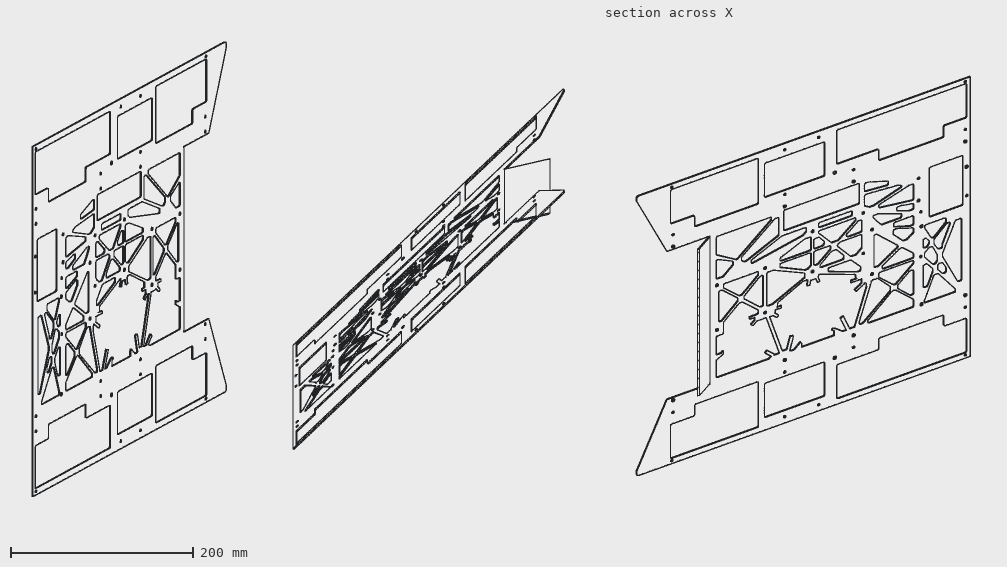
import cadquery as cq
import math

thickness = 1.5
plate_length = 418.18
plate_height = 406.0
total_depth = 26.75
half_height = plate_height / 2

horn_taper_z = 196.2
horn_root_y = 380.2
horn_radius = 3.0
horn_overlap = 20.0

notch_half_height = 107.6
flap_half_height = 106.5
flap_fold_y = 326.4
flap_tip_y = 371.0
flap_angle = math.radians(31)

corner_radius = 2.0
truss_radius = 2.0

frame_top_z = 195.3
step_z = 145.5
frame_bottom_z = 128.9
floor_z = -101.8
truss_left_y = 318.4
truss_right_y = 70.9


def rounded_outline(points, radius):
    """Closed wire in YZ; each corner gets the radius, or less where its edges are too short."""
    edge_share = 0.45
    outline = None
    count = len(points)
    for i in range(count):
        corner = cq.Vector(*points[i])
        to_previous = cq.Vector(*points[i - 1]) - corner
        to_next = cq.Vector(*points[(i + 1) % count]) - corner
        half_angle = to_previous.getAngle(to_next) / 2
        shorter_edge = min(to_previous.Length, to_next.Length)
        setback = min(radius / math.tan(half_angle), edge_share * shorter_edge)
        arc_radius = setback * math.tan(half_angle)
        start = corner + to_previous.normalized() * setback
        end = corner + to_next.normalized() * setback
        bisector = (to_previous.normalized() + to_next.normalized()).normalized()
        middle = corner + bisector * (arc_radius / math.sin(half_angle) - arc_radius)
        if outline is None:
            outline = cq.Workplane("YZ", origin=(-thickness, 0, 0)).moveTo(start.x, start.y)
        else:
            outline = outline.lineTo(start.x, start.y)
        outline = outline.threePointArc((middle.x, middle.y), (end.x, end.y))
    return outline.close()


def rounded_panel(points, radius):
    """Sheet-thick panel with rounded corners."""
    return rounded_outline(points, radius).extrude(thickness)


def mirrored(points):
    """The same points on the other side of Z = 0."""
    return [(y, -z) for y, z in points]


def rectangle(y_low, y_high, z_low, z_high):
    """Corner points of an upright rectangle."""
    return [(y_low, z_low), (y_high, z_low), (y_high, z_high), (y_low, z_high)]


def bar(start, end, width):
    """Corner points of a straight bar between two centre points."""
    length = math.dist(start, end)
    side_y = -(end[1] - start[1]) / length * width / 2
    side_z = (end[0] - start[0]) / length * width / 2
    return [
        (start[0] + side_y, start[1] + side_z),
        (end[0] + side_y, end[1] + side_z),
        (end[0] - side_y, end[1] - side_z),
        (start[0] - side_y, start[1] - side_z),
    ]


def make_plate():
    """Sheet outline: a rectangle with two horns left standing beside the flap notch."""
    body = rectangle(0, flap_fold_y, -half_height, half_height)
    plate = cq.Workplane("YZ", origin=(-thickness, 0, 0)).polyline(body).close().extrude(thickness)
    horn_base_y = flap_fold_y - horn_overlap
    horn = [
        (horn_base_y, half_height),
        (plate_length, half_height),
        (plate_length, horn_taper_z),
        (horn_root_y, notch_half_height),
        (horn_base_y, notch_half_height),
    ]
    for points in (horn, mirrored(horn)):
        sheet = cq.Workplane("YZ", origin=(-thickness, 0, 0)).polyline(points).close().extrude(thickness)
        tip_edges = sheet.faces(">Y").edges("|X")
        plate = plate.union(tip_edges.fillet(horn_radius))
    return plate


def make_flap():
    """Folded flap of sheet thickness whose tip is cut parallel to the plate."""
    fold_back_y = flap_fold_y + thickness * math.tan(flap_angle / 2)
    tip_inner_y = flap_tip_y - thickness / math.sin(flap_angle)
    profile = [
        (0, flap_fold_y - thickness),
        (0, fold_back_y),
        (-total_depth, flap_tip_y),
        (-total_depth, tip_inner_y),
        (-thickness, flap_fold_y),
        (-thickness, flap_fold_y - thickness),
    ]
    flap = cq.Workplane("XY", origin=(0, 0, -flap_half_height)).polyline(profile).close()
    return flap.extrude(2 * flap_half_height)


side_windows = [
    [
        (375.7, frame_top_z), (265.5, frame_top_z), (265.5, frame_bottom_z),
        (345.5, frame_bottom_z), (345.5, step_z), (375.7, step_z),
    ],
    rectangle(182.5, 258.0, 134.9, 184.7),
    [
        (167.4, frame_top_z), (4.5, frame_top_z), (4.5, step_z), (33.2, step_z),
        (33.2, frame_bottom_z), (114.6, frame_bottom_z), (114.6, step_z), (167.4, step_z),
    ],
]

middle_windows = [
    rectangle(138.8, 233.9, 76.3, 106.4),
    rectangle(147.9, 190.2, 62.6, 70.1),
    rectangle(9.1, 51.3, 20.4, 92.8),
]

truss_openings = [
    [(truss_left_y, 103.3), (249, 103.3), (249, 99), (292.5, 58.8), (truss_left_y, 76.7)],
    [(truss_left_y, 70.5), (297.2, 58.8), (297.2, 53.5), (309.5, 41.4), (truss_left_y, 41.4)],
    [(239.9, 98.8), (245, 98.8), (286.8, 60.5), (286.8, 55.5), (283.5, 52), (280.5, 52), (239.9, 72.4)],
    [(274.6, 51), (236.5, 70.1), (205.2, 70.1), (205.2, 63.5), (209.5, 59.6), (274.6, 45.3)],
    [(238.4, 33.9), (238.4, 39), (208, 53.8), (199.4, 53.8), (199.4, 33.9)],
    [(199.4, 30.9), (238.6, 30.9), (238.6, 25.3), (207, 8.2), (203.5, 8.2), (199.4, 12)],
    [(309.3, 30.9), (265.5, 30.9), (265.5, 25.5), (286, 5.2), (289.5, 5.2), (309.3, 25)],
    [(315.3, 23), (311.5, 23), (291.2, 2.5), (291.2, -1.5), (311.5, -22), (315.3, -22)],
    [(259.5, 23), (263.5, 23), (283.6, 2.5), (283.6, -1.5), (263.5, -22), (259.5, -22)],
    [(255, 24.9), (247, 24.9), (207, 4), (207, -2.3), (248, -24.5), (255, -24.5)],
    [(190.2, 58.2), (143.3, 58.2), (143.3, 54), (165.3, 34.1), (173.8, 34.1), (190.2, 55.2)],
    [(196.1, 34.1), (196.1, 49.1), (189.8, 49.1), (182.6, 39.5), (182.6, 37), (185, 34.1)],
    [(135.8, 34.1), (135.8, 52.1), (140.5, 52.1), (155.3, 38.5), (155.3, 36), (153, 34.1)],
    [(196.1, 31), (175, 31), (175, 25), (191, 10), (194.5, 10), (196.1, 11.5)],
    [(188.5, 3.8), (188.5, 8), (174, 22.1), (168, 22.1), (158.5, 9.5), (158.5, 3.8)],
    [(135.8, 31), (163, 31), (166.5, 28), (166.5, 26), (149.5, 3.9), (143, 3.9), (135.8, 10.7)],
    [(178, -0.5), (150, -0.5), (137.2, -16), (137.2, -21.8), (141.5, -21.8), (178, -6.2)],
    [(132.7, 91.2), (132.7, 103.3), (128, 103.3), (102.6, 94.3), (102.6, 88.2)],
    [(132.7, 87), (91, 83.2), (86, 81), (86, 78.5), (121, 66), (126, 66), (132.7, 70.5)],
    [(truss_right_y, 77.2), (77, 77.2), (114.7, 64.7), (114.7, 60), (truss_right_y, 53.3)],
    [(122, 52), (115.5, 52), (86, 40), (86, 34.1), (111, 34.1), (116.5, 41), (122, 50)],
    [(92, 52), (87, 52), (truss_right_y, 48.5), (truss_right_y, 40), (77, 40), (92, 46.3)],
    [(95.8, 31), (truss_right_y, 31), (truss_right_y, 17.3), (75, 17.3), (95.8, 24.5)],
    [
        (96.6, 20.8), (92, 20.8), (truss_right_y, 13), (truss_right_y, 6),
        (79.5, -0.5), (84, -0.5), (96.6, 14),
    ],
    [(120.7, 26.5), (90.4, -4.8), (90.4, -6.5), (115, -24.2), (120.7, -24.2)],
    [(88, -9.5), (85.5, -9.5), (truss_right_y, -24), (truss_right_y, -30.8), (110.2, -30.8), (110.2, -25.7)],
    [(114.8, -33.8), (truss_right_y, -33.8), (truss_right_y, -38.5), (93, -59.5), (96, -59.5), (114.8, -40.5)],
    [(truss_right_y, -47.5), (76, -47.5), (90.8, -61.5), (90.8, -67), (75, -83.5), (truss_right_y, -83.5)],
    [(98, -67.5), (94, -67.5), (truss_right_y, -91), (truss_right_y, floor_z), (128.4, floor_z), (128.4, -97.5)],
    [
        (123.8, -41.3), (116.2, -41.3), (99.9, -60.5), (99.9, -66.5),
        (134.5, -99.1), (139.2, -99.1), (139.2, -95), (124.5, -45),
    ],
    [(56.5, 11.3), (30.2, 11.3), (30.2, 4.5), (45, -11.3), (48.5, -11.3), (57.4, 8)],
    [(58.9, -21.9), (58.9, -8.3), (55.5, -8.3), (51.3, -14.5), (51.3, -17.5), (54, -21.9)],
    [(29.5, 2.3), (24.2, 2.3), (34.8, -26), (34.8, -31), (40, -31), (45.3, -21), (45.3, -14)],
    [(10.7, 2.3), (18.5, 2.3), (34.7, -38.5), (34.7, -43.5), (15.5, -88.3), (10.7, -88.3)],
    [
        (51.8, -23.4), (47.5, -23.4), (41, -39), (41, -47),
        (43.5, -50.5), (46.5, -50.5), (57.4, -35), (57.4, -29),
    ],
    [(58.9, -79.2), (58.9, -46), (54.3, -46), (46.8, -56.5), (46.8, -60.5), (53.5, -79.2)],
    [(40.8, -52), (35, -52), (30.2, -61.5), (30.2, -68.7), (34.5, -68.7), (40.8, -60)],
    [(45.5, -65.7), (40.5, -65.7), (18.4, -98), (18.4, floor_z), (57.6, floor_z), (57.6, -98.5)],
]

main_opening = [
    (truss_left_y, floor_z), (truss_left_y, -41.5), (309.3, -41.5), (309.3, -24.5),
    (289.5, -5), (286, -5), (265.5, -25.5), (265.5, -29.5),
    (270.3, -33), (270.3, -39), (266, -40.2), (246, -41), (244.5, -38), (244.5, -35), (241.5, -30),
    (241.5, -24.5), (210, -6.8), (203.7, -6.8), (203.7, -9.5), (190.2, -9.5),
    (190.2, -5), (187, -6), (143.5, -24.3), (143.5, -30.5),
    (136, -33), (136, -41.5), (130.5, -41.5), (129.8, -48), (144.9, -100.3),
    (170.6, -100.3), (170.6, floor_z), (226.4, floor_z), (226.4, -97.4), (236, -97.4),
    (240, -99), (249.5, -99), (252.5, floor_z),
]

stubs = [
    [(truss_left_y + 1, -76.5), (truss_left_y + 1, -68.5), (312, -68.5), (309.3, -65), (309.3, -70.5)],
    bar((254, -39), (237, -99), 4.0),
    bar((264, -32.5), (276.7, -32.5), 3.0),
    bar((268, -38.5), (273.8, -43.8), 3.5),
    bar((248, -32.5), (236.5, -32.5), 3.0),
    bar((247.5, -38.5), (241.3, -44.6), 3.5),
    bar((201.5, -8), (203, -15.8), 3.7),
    bar((192.3, -8), (190, -15.5), 3.0),
    bar((134, -32.5), (149.7, -32.5), 3.0),
    bar((133.5, -40.5), (144, -47.8), 3.5),
    bar((152.8, -101), (160.9, -79.3), 4.2),
    [(170.6, -103), (170.6, -95), (173.5, -93), (172, -91), (168.5, -92.7), (158, -102)],
    [(211.3, -103), (211.3, -96), (212.7, -93.8), (216, -97), (222, -103)],
    bar((228.3, -100), (223.6, -80.5), 4.3),
    bar((246.5, -99.5), (256, -90), 3.8),
]
stub_radius = 0.6

mirrored_holes = {
    3.0: [
        (374.2, 198.5), (6.2, 198.5), (232.5, 194), (190, 194),
        (372.7, 129), (232.5, 129), (146.3, 129), (6.2, 129),
    ],
    3.7: [(317.6, 32.4), (257.2, 32.4), (123.2, 32.4)],
    4.2: [(169.8, 134.5)],
}
single_holes = {
    3.0: [(4.5, 32.4), (61.9, 32.4), (61.9, -32.4)],
    3.25: [(134.2, 61), (134.2, 2.4), (64.9, 82.4)],
    3.7: [(197.6, 60.8), (197.6, 2.4), (64.9, 50)],
    4.0: [(61.1, 11.2), (61.1, -102)],
}

sink_diameter = 4.0
sink_drill_diameter = 3.0
sink_centres = [
    (y, side * 111.6) for y in (372.5, 232.5, 146.2, 6.2) for side in (1, -1)
] + [(4.5, 74.2)]


def window_panels():
    """Panels that fill the plain windows."""
    windows = side_windows + [mirrored(window) for window in side_windows] + middle_windows
    return [rounded_panel(window, corner_radius) for window in windows]


def truss_panels():
    """Panels that fill the openings between the struts, with the stubs left out of the main one."""
    panels = [rounded_panel(opening, truss_radius) for opening in truss_openings]
    stub_bodies = [rounded_panel(stub, stub_radius) for stub in stubs]
    main_panel = rounded_panel(main_opening, truss_radius).val().cut(*[stub.val() for stub in stub_bodies])
    return panels + [cq.Workplane(main_panel)]


def hole_drills():
    """Cylinders for every round hole through the sheet."""
    drills = []
    for holes, sides in ((mirrored_holes, (1, -1)), (single_holes, (1,))):
        for diameter, centres in holes.items():
            for side in sides:
                points = [(y, side * z) for y, z in centres]
                drill = cq.Workplane("YZ", origin=(-thickness, 0, 0)).pushPoints(points)
                drills.append(drill.circle(diameter / 2).extrude(thickness))
    return drills


def countersinks():
    """Cones that taper from the -X face down to the drill diameter on the +X face."""
    face = cq.Workplane("YZ", origin=(-thickness, 0, 0)).pushPoints(sink_centres)
    taper = math.degrees(math.atan((sink_diameter - sink_drill_diameter) / 2 / thickness))
    return face.circle(sink_diameter / 2).extrude(thickness, taper=taper)


def cut_plate():
    """Plate with every window, truss opening and hole cut in one operation."""
    tools = window_panels() + truss_panels() + hole_drills() + [countersinks()]
    bodies = [body for tool in tools for body in tool.vals()]
    return cq.Workplane(make_plate().val().cut(*bodies))


result = cut_plate().union(make_flap())